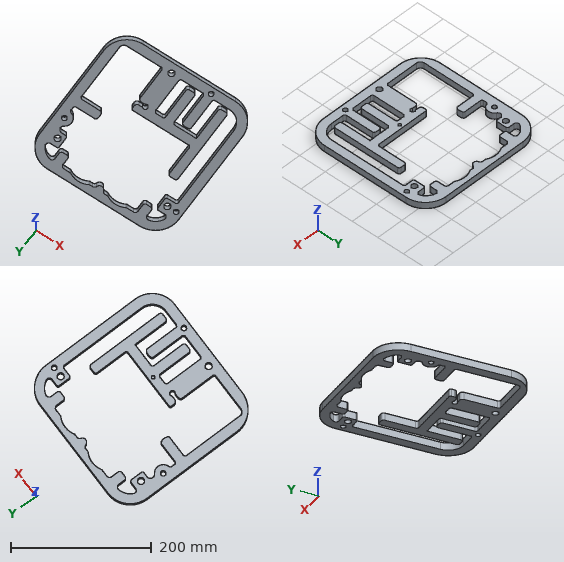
import cadquery as cq
import math

side = 240.0
thickness = 12.0
half = side / 2
corner_radius = 40.0
corner_center = half - corner_radius
wall = 15.5
top_wall = 13.5
inner = half - wall
inner_top = half - top_wall
inner_right_radius = corner_radius - wall
inner_left_radius = 7.7
pocket_radius = 25.7

bar_width = 15.0
tab_center_x = 72.2
tab_bottom = 86.2
lug_inner_x = 85.2
lug_bottom = 61.5
lug_top = 84.5
side_tab_center_y = 9.0
side_tab_end = -65.5
post_left = -34.5
post_right = -5.0
bar_top = -25.2
bar_bottom = bar_top - bar_width
hanging_finger_x = 19.7
rising_finger_x = 45.0
rising_finger_top = -46.0
long_bar_x = 75.0
long_bar_top = 31.0
finger_bottom = -98.0
crown = 2.0

scallop_x = 32.2
scallop_radius = 31.2
bump_y = 104.6
bump_radius = 6.0
boss_x = -105.0
boss_y = 40.0
boss_radius = 12.7
notch_radius = 5.8
slot_width = 5.5
slot_bulb_x = -20.6
slot_bulb_diameter = 8.0

large_hole = 10.0
medium_hole = 8.0
small_hole = 5.0
small_hole_depth = thickness / 2
large_hole_points = [(-94.8, 72.0), (94.8, 72.0), (-20.2, -105.0)]
medium_hole_points = [(boss_x, boss_y), (110.2, 72.0), (rising_finger_x, -110.0)]
small_hole_point = (14.6, -32.2)

lug_round = 2.6
crown_round = 3.0
root_round = 3.4
end_round = 3.8
tab_round = 4.8
slot_lip_round = 4.8
scallop_round = 3.0


def block(x0, x1, y0, y1):
    """Full-thickness box between two X and two Y limits."""
    return cq.Workplane("XY").box(x1 - x0, y1 - y0, thickness, centered=False).translate((x0, y0, 0))


def disc(x, y, radius):
    """Full-thickness cylinder."""
    return cq.Workplane("XY").center(x, y).circle(radius).extrude(thickness)


def upright(center_x, y0, y1):
    """Bar of the common width running along Y."""
    return block(center_x - bar_width / 2, center_x + bar_width / 2, y0, y1)


def crowned_bar(length):
    """Bar along +X from the origin whose far end bulges out in a shallow arc."""
    half_width = bar_width / 2
    shoulder = length - crown
    return (
        cq.Workplane("XY")
        .moveTo(0, -half_width)
        .lineTo(shoulder, -half_width)
        .threePointArc((length, 0), (shoulder, half_width))
        .lineTo(0, half_width)
        .close()
        .extrude(thickness)
    )


def round_edges(body, points, radius):
    """Round the vertical edges standing at the given XY points."""
    reach = 0.12
    for x, y in points:
        around_point = cq.selectors.BoxSelector((x - reach, y - reach, 0), (x + reach, y + reach, thickness))
        body = body.edges("|Z").edges(around_point).fillet(radius)
    return body


def mirrored(points):
    """The points together with their mirror images across the YZ plane."""
    return points + [(-x, y) for x, y in points]


frame = block(-half, half, -half, half).edges("|Z").fillet(corner_radius)
lug_middle = (lug_bottom + lug_top) / 2
opening = block(-inner, inner, -inner, lug_middle)
opening = round_edges(opening, [(-inner, -inner)], inner_left_radius)
opening = round_edges(opening, [(inner, -inner)], inner_right_radius)
opening = opening.union(block(-tab_center_x, tab_center_x, 0, inner_top))
for sign in (-1, 1):
    opening = opening.union(disc(sign * corner_center, corner_center, pocket_radius))
    opening = opening.union(disc(sign * scallop_x, corner_center, scallop_radius))
body = frame.cut(opening)

wall_middle = half - wall / 2
for sign in (-1, 1):
    body = body.union(upright(sign * tab_center_x, tab_bottom, half - top_wall / 2))
    lug_ends = sorted((sign * lug_inner_x, sign * wall_middle))
    body = body.union(block(lug_ends[0], lug_ends[1], lug_bottom, lug_top))
body = body.union(disc(0, bump_y, bump_radius))

notch_y = lug_bottom - notch_radius
notch_x = boss_x + math.sqrt((boss_radius + notch_radius) ** 2 - (notch_y - boss_y) ** 2)
notch_fill = (
    cq.Workplane("XY")
    .polyline([(-wall_middle, boss_y), (boss_x, boss_y), (notch_x, notch_y), (notch_x, lug_bottom),
               (-wall_middle, lug_bottom)])
    .close()
    .extrude(thickness)
)
body = body.union(disc(boss_x, boss_y, boss_radius)).union(notch_fill)
body = body.cut(disc(notch_x, notch_y, notch_radius))

side_tab = crowned_bar(side_tab_end + wall_middle).translate((-wall_middle, side_tab_center_y, 0))
rising_finger = (
    crowned_bar(rising_finger_top + wall_middle)
    .rotate((0, 0, 0), (0, 0, 1), 90)
    .translate((rising_finger_x, -wall_middle, 0))
)
body = body.union(side_tab).union(rising_finger)
body = body.union(block(post_left, post_right, -wall_middle, bar_top))
body = body.union(block(post_left, long_bar_x, bar_bottom, bar_top))
body = body.union(upright(hanging_finger_x, finger_bottom, bar_top))
body = body.union(upright(long_bar_x, finger_bottom, long_bar_top))

slot_top = bar_bottom + slot_width / 2
slot_bottom = bar_bottom - slot_width / 2
body = body.cut(block(post_left, slot_bulb_x, slot_bottom, slot_top))
body = body.cut(disc(slot_bulb_x, bar_bottom, slot_bulb_diameter / 2))

half_bar = bar_width / 2
tab_outer = tab_center_x + half_bar
tab_inner = tab_center_x - half_bar
pocket_top = corner_center + math.sqrt(pocket_radius**2 - (tab_outer - corner_center) ** 2)
pocket_side = corner_center + math.sqrt(pocket_radius**2 - (lug_top - corner_center) ** 2)
bump_edge = math.sqrt(bump_radius**2 - (inner_top - bump_y) ** 2)
scallop_half_width = math.sqrt(scallop_radius**2 - (inner_top - corner_center) ** 2)
boss_edge = boss_y - math.sqrt(boss_radius**2 - (boss_x + inner) ** 2)
side_tab_top = side_tab_center_y + half_bar
side_tab_bottom = side_tab_center_y - half_bar

upper_corners = [
    (tab_inner, inner_top),
    (tab_outer, pocket_top),
    (pocket_side, lug_top),
    (bump_edge, inner_top),
]
body = round_edges(body, mirrored(upper_corners), tab_round)
scallop_ends = [(scallop_x - scallop_half_width, inner_top), (scallop_x + scallop_half_width, inner_top)]
body = round_edges(body, mirrored(scallop_ends), scallop_round)
body = round_edges(body, mirrored([(tab_inner, tab_bottom), (tab_outer, tab_bottom)]), end_round)
body = round_edges(body, mirrored([(lug_inner_x, lug_bottom), (lug_inner_x, lug_top)]), lug_round)
body = round_edges(body, [(post_left, bar_top)], lug_round)
body = round_edges(body, [(post_left, slot_top), (post_left, slot_bottom)], slot_lip_round)

bar_ends = [(hanging_finger_x, finger_bottom), (long_bar_x, finger_bottom), (long_bar_x, long_bar_top)]
for x, y in bar_ends:
    body = round_edges(body, [(x - half_bar, y), (x + half_bar, y)], end_round)

crown_corners = [
    (side_tab_end - crown, side_tab_top),
    (side_tab_end - crown, side_tab_bottom),
    (rising_finger_x - half_bar, rising_finger_top - crown),
    (rising_finger_x + half_bar, rising_finger_top - crown),
]
body = round_edges(body, crown_corners, crown_round)

roots = [
    (inner, lug_bottom),
    (-inner, boss_edge),
    (-inner, side_tab_top),
    (-inner, side_tab_bottom),
    (post_left, -inner),
    (post_right, -inner),
    (post_right, bar_bottom),
    (hanging_finger_x - half_bar, bar_bottom),
    (hanging_finger_x + half_bar, bar_bottom),
    (rising_finger_x - half_bar, -inner),
    (rising_finger_x + half_bar, -inner),
    (long_bar_x - half_bar, bar_top),
]
body = round_edges(body, roots, root_round)

body = body.cut(cq.Workplane("XY").pushPoints(large_hole_points).circle(large_hole / 2).extrude(thickness))
body = body.cut(cq.Workplane("XY").pushPoints(medium_hole_points).circle(medium_hole / 2).extrude(thickness))
blind_hole = disc(*small_hole_point, small_hole / 2).translate((0, 0, thickness - small_hole_depth))
result = body.cut(blind_hole).solids()